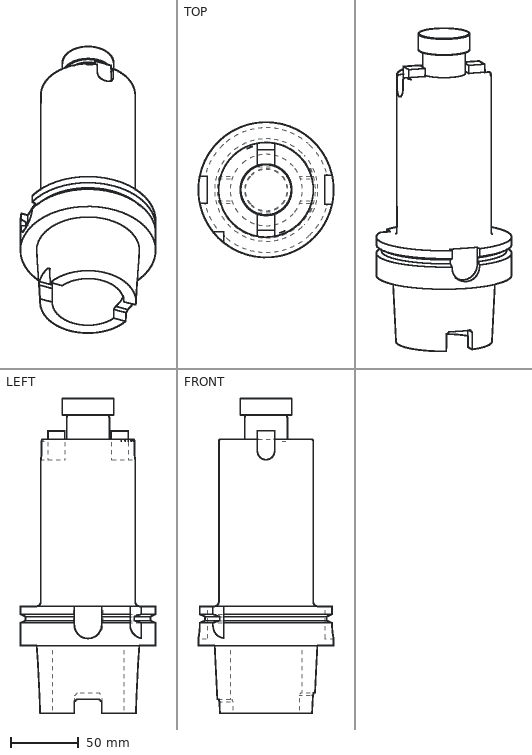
import cadquery as cq
import math

INCH = 25.4

gauge_radius = 38.0
taper_length = 50.0
taper_slope = 1 / 20
taper_end_radius = gauge_radius - taper_length * taper_slope
shank_bore_radius = 26.5
drive_slot_width = 20.0
shallow_drive_slot = 10.3
deep_drive_slot = 15.0
drive_slot_corner = 1.8

flange_radius = 50.0
flange_height = 29.0
groove_radius = 46.2
groove_bottom = 16.7
groove_top = 23.1
groove_chamfer_height = 1.7

slot_floor_x = 43.5
slot_bottom = 5.2
narrow_slot_width = 20.0
wide_slot_width = 21.5
notch_wall = 31.1

body_radius = 2.75 * INCH / 2
body_top = 6 * INCH
body_edge_round = 1.5
body_root_fillet = 3.4
pilot_radius = 1.25 * INCH / 2
pilot_length = 17.45
pilot_lead_length = 1.8
pilot_lead_taper = 0.5

head_radius = 1.5 * INCH / 2
head_height = 0.5 * INCH
head_edge_chamfer = 0.5

key_width = 0.5 * INCH
key_length = 0.5 * INCH
key_rise = 6.0
key_depth = 15.2
key_outer = 29.7
key_inner = key_outer - key_length
key_top = body_top + key_rise
key_bottom = body_top - key_depth
key_angles = (90, -90)

pilot_top = body_top + pilot_length


def round_bottom_prism(width, bottom, top, length):
    """Prism from the origin along +X, flat on top, with a half-round bottom along its length."""
    half = width / 2
    return (
        cq.Workplane("YZ")
        .moveTo(-half, top)
        .lineTo(-half, bottom + half)
        .threePointArc((0, bottom), (half, bottom + half))
        .lineTo(half, top)
        .close()
        .extrude(length)
    )


def make_blank():
    """Revolved holder: taper shank, grooved flange, body and pilot."""
    diagonal = 1 - math.sqrt(0.5)
    return (
        cq.Workplane("XZ")
        .moveTo(0, -taper_length)
        .lineTo(taper_end_radius, -taper_length)
        .lineTo(gauge_radius, 0)
        .lineTo(flange_radius, 0)
        .lineTo(flange_radius, groove_bottom)
        .lineTo(groove_radius, groove_bottom + groove_chamfer_height)
        .lineTo(groove_radius, groove_top - groove_chamfer_height)
        .lineTo(flange_radius, groove_top)
        .lineTo(flange_radius, flange_height)
        .lineTo(body_radius + body_root_fillet, flange_height)
        .threePointArc(
            (body_radius + body_root_fillet * diagonal, flange_height + body_root_fillet * diagonal),
            (body_radius, flange_height + body_root_fillet),
        )
        .lineTo(body_radius, body_top - body_edge_round)
        .threePointArc(
            (body_radius - body_edge_round * diagonal, body_top - body_edge_round * diagonal),
            (body_radius - body_edge_round, body_top),
        )
        .lineTo(pilot_radius, body_top)
        .lineTo(pilot_radius, pilot_top - pilot_lead_length)
        .lineTo(pilot_radius - pilot_lead_taper, pilot_top)
        .lineTo(0, pilot_top)
        .close()
        .revolve(360, (0, 0, 0), (0, 1, 0))
    )


def make_shank_bore():
    """Blind bore that makes the taper shank hollow up to the gauge face."""
    return (
        cq.Workplane("XY")
        .workplane(offset=-taper_length)
        .circle(shank_bore_radius)
        .extrude(taper_length)
    )


def make_drive_slot(height):
    """Slot across the +X wall of the hollow shank, open at its end."""
    return (
        cq.Workplane("XY")
        .workplane(offset=-taper_length)
        .center(gauge_radius / 2, 0)
        .rect(gauge_radius, drive_slot_width)
        .extrude(height)
        .edges("|X and >Z")
        .chamfer(drive_slot_corner)
    )


def make_flange_slot(width):
    """Slot in the +X side of the flange rim."""
    length = flange_radius - slot_floor_x
    return round_bottom_prism(width, slot_bottom, flange_height, length).translate((slot_floor_x, 0, 0))


def make_notch():
    """Index notch at the (-X, -Y) quarter of the flange rim."""
    length = flange_radius - notch_wall
    prism = round_bottom_prism(narrow_slot_width, slot_bottom, flange_height, length)
    return prism.translate((-flange_radius, -notch_wall - narrow_slot_width / 2, 0))


def make_key_slot():
    """Slot in the +X side of the body top, open outward; turned to the +Y and -Y sides later."""
    length = body_radius - key_inner
    return round_bottom_prism(key_width, key_bottom, body_top, length).translate((key_inner, 0, 0))


def make_key():
    """Drive key with a half-round bottom, on the +X side."""
    return round_bottom_prism(key_width, key_bottom, key_top, key_length).translate((key_inner, 0, 0))


def turned(shape, angle):
    """Shape turned about the Z axis by an angle in degrees."""
    return shape.rotate((0, 0, 0), (0, 0, 1), angle)


def make_holder():
    """Holder with its bore, drive slots, rim slots, notch and key slots cut."""
    holder = make_blank().cut(make_shank_bore())
    holder = holder.cut(make_drive_slot(deep_drive_slot))
    holder = holder.cut(turned(make_drive_slot(shallow_drive_slot), 180))
    holder = holder.cut(make_flange_slot(wide_slot_width))
    holder = holder.cut(turned(make_flange_slot(narrow_slot_width), 180))
    holder = holder.cut(make_notch())
    for angle in key_angles:
        holder = holder.cut(turned(make_key_slot(), angle))
    return holder


def make_screw_head():
    """Disc head seated on the pilot, chamfered at both rims."""
    return (
        cq.Workplane("XY")
        .workplane(offset=pilot_top)
        .circle(head_radius)
        .extrude(head_height)
        .edges("%CIRCLE")
        .chamfer(head_edge_chamfer)
    )


holder = make_holder()
screw_head = make_screw_head()
keys = [turned(make_key(), angle) for angle in key_angles]

result = cq.Compound.makeCompound([holder.val(), screw_head.val(), *[key.val() for key in keys]])